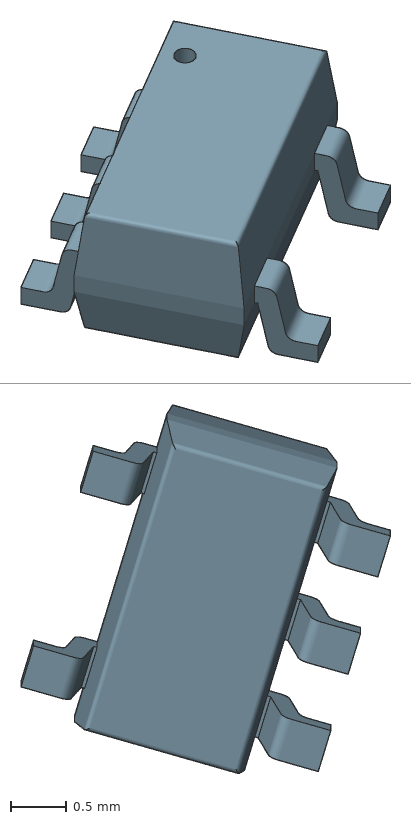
import cadquery as cq
import math

span_x = 2.8
body_length = 2.95
body_width = 1.602
top_z = 1.45
standoff = 0.077

draft_inset = 0.08
edge_radius = 0.038
dot_diameter = 0.2
dot_depth = 0.2
dot_edge_distance = 0.322

lead_thickness = 0.2
lead_width = 0.4
lead_pitch = 0.95
lead_top_z = 0.767
lead_lean = 11.3
foot_length = 0.29
bend_radius = 0.1

waist_z = lead_top_z - lead_thickness


def tapered_half(start_z, end_z):
    """Half of the body, narrowing from the waist outline to an end face."""
    return (
        cq.Workplane("XY", origin=(0, 0, start_z))
        .rect(body_width, body_length)
        .workplane(offset=end_z - start_z)
        .rect(body_width - 2 * draft_inset, body_length - 2 * draft_inset)
        .loft(ruled=True)
    )


def make_housing():
    """Moulded body with a pin-one dot sunk into its top face."""
    waist = (
        cq.Workplane("XY", origin=(0, 0, waist_z))
        .rect(body_width, body_length)
        .extrude(lead_thickness)
    )
    body = (
        waist.union(tapered_half(lead_top_z, top_z))
        .union(tapered_half(waist_z, standoff))
        .faces("<Z or >Z")
        .edges()
        .fillet(edge_radius)
    )
    dot = (
        cq.Workplane("XY", origin=(dot_edge_distance - body_width / 2, lead_pitch, top_z - dot_depth))
        .circle(dot_diameter / 2)
        .extrude(dot_depth)
    )
    return body.cut(dot)


def make_left_lead(center_y):
    """Gull-wing lead on the -X side, ending flush against the waist."""
    lean = math.radians(lead_lean)
    foot_x = -span_x / 2
    body_x = -body_width / 2
    outer_x = foot_x + foot_length
    shank_width = lead_thickness / math.cos(lean)

    def outer_face_x(z):
        return outer_x + (z - lead_thickness) * math.tan(lean)

    profile = [
        (foot_x, 0),
        (outer_face_x(0) + shank_width, 0),
        (outer_face_x(waist_z) + shank_width, waist_z),
        (body_x, waist_z),
        (body_x, lead_top_z),
        (outer_face_x(lead_top_z), lead_top_z),
        (outer_x, lead_thickness),
        (foot_x, lead_thickness),
    ]
    lead = (
        cq.Workplane("XZ", origin=(0, center_y + lead_width / 2, 0))
        .polyline(profile)
        .close()
        .extrude(lead_width)
    )
    bends = [profile[1], profile[5], profile[6]]
    for x, z in bends:
        bend_edge = cq.selectors.NearestToPointSelector((x, center_y, z))
        lead = lead.edges("|Y").edges(bend_edge).fillet(bend_radius)
    return lead


housing = make_housing()

left_leads = [make_left_lead(row * lead_pitch) for row in (-1, 0, 1)]
right_leads = [make_left_lead(row * lead_pitch).mirror("YZ") for row in (-1, 1)]

result = cq.Compound.makeCompound(
    [housing.val()] + [lead.val() for lead in left_leads + right_leads]
)